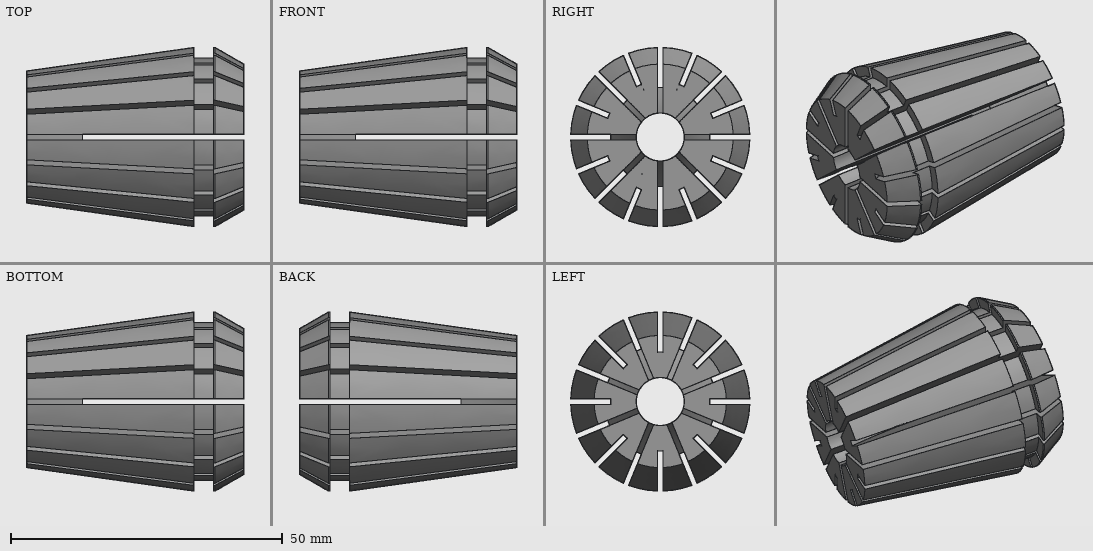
import cadquery as cq
import math

length = 40.0
max_radius = 16.5
body_angle = 8.0
body_length = 30.8
groove_width = 3.6
groove_radius = 14.55
land_width = 0.3
nose_angle = 30.0
bore_radius = 4.4

slots_per_end = 8
slot_width = 1.0
cut_clearance = 0.4
blade_radius = 40.0
rear_slot_start = 10.3
rear_floor_radius = 9.1
front_slot_end = 31.2
front_floor_radius = 10.3


def make_body():
    groove_start = body_length
    groove_end = groove_start + groove_width
    nose_start = groove_end + land_width
    tail_radius = max_radius - body_length * math.tan(math.radians(body_angle))
    nose_radius = max_radius - (length - nose_start) * math.tan(math.radians(nose_angle))
    profile = [
        (0, bore_radius),
        (0, tail_radius),
        (groove_start, max_radius),
        (groove_start, groove_radius),
        (groove_end, groove_radius),
        (groove_end, max_radius),
        (nose_start, max_radius),
        (length, nose_radius),
        (length, bore_radius),
    ]
    return cq.Workplane("XZ").polyline(profile).close().revolve(360, (0, 0, 0), (1, 0, 0))


def make_slot(breakout, floor_radius):
    """Radial slot open at X = length, its concave floor rising from the bore towards X = 0."""
    rise = floor_radius - bore_radius
    chord = math.hypot(breakout, rise)
    sagitta = blade_radius - math.sqrt(blade_radius**2 - (chord / 2) ** 2)
    floor_middle = (
        breakout / 2 - sagitta * rise / chord,
        bore_radius + rise / 2 - sagitta * breakout / chord,
    )
    return (
        cq.Workplane("XZ")
        .moveTo(0, max_radius + cut_clearance)
        .lineTo(0, floor_radius)
        .threePointArc(floor_middle, (breakout, bore_radius))
        .lineTo(breakout, 0)
        .lineTo(length, 0)
        .lineTo(length, max_radius + cut_clearance)
        .close()
        .extrude(slot_width / 2, both=True)
    )


def cut_slots(body, slot, first_angle):
    for i in range(slots_per_end):
        angle = first_angle + i * 360 / slots_per_end
        body = body.cut(slot.rotate((0, 0, 0), (1, 0, 0), angle))
    return body


rear_slot = make_slot(rear_slot_start, rear_floor_radius)
front_slot = make_slot(length - front_slot_end, front_floor_radius).mirror("YZ", (length / 2, 0, 0))

result = cut_slots(make_body(), rear_slot, 0)
result = cut_slots(result, front_slot, 180 / slots_per_end)